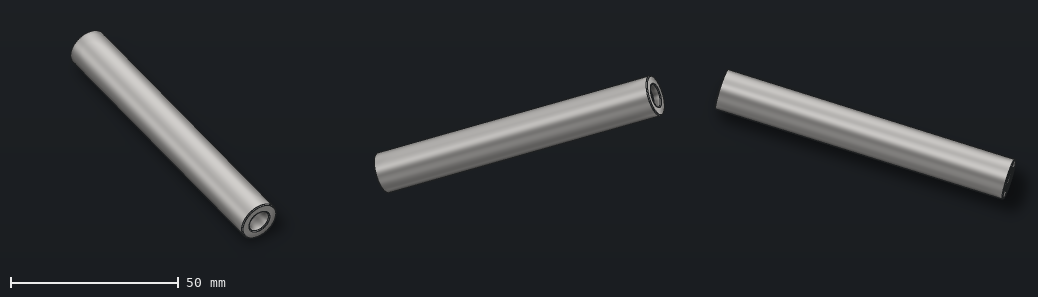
import cadquery as cq

length = 90.6
outer_diameter = 12.5
bore_diameter = 7.0
edge_chamfer = 0.3

pocket_diameter = 8.2
pocket_depth = 4.4

left_end_x = -length / 2


def full_length_cylinder(diameter):
    """Cylinder along X from one end face of the part to the other."""
    end_plane = cq.Workplane("YZ", origin=(left_end_x, 0, 0))
    return end_plane.circle(diameter / 2).extrude(length)


tube = full_length_cylinder(outer_diameter).cut(full_length_cylinder(bore_diameter))
tube = tube.faces("<X or >X").edges().chamfer(edge_chamfer)

pocket = cq.Workplane("XY").sphere(pocket_diameter / 2)
pocket = pocket.translate((left_end_x + pocket_depth, 0, 0))

result = tube.cut(pocket)